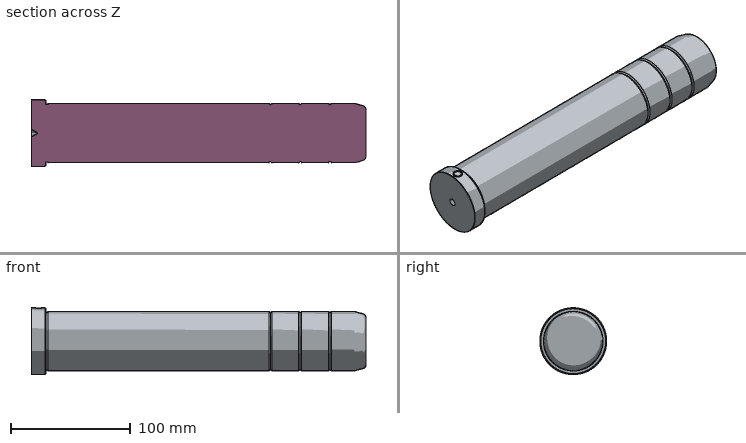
import cadquery as cq
import math

length = 280.0
head_radius = 28.0
head_length = 12.0
head_chamfer = 0.8
end_face_chamfer = 0.3
shaft_radius = 25.0

relief_width = 2.0
relief_depth = 0.5

groove_width = 2.5
groove_depth = 1.0
first_groove_x = 200.0
groove_pitch = 25.0
groove_count = 3

taper_length = 9.5
taper_angle = math.radians(15)
tip_round = 4.0

center_hole_radius = 3.0
center_hole_angle = math.radians(60)

rim_ring_radius = 4.0
rim_ring_width = 0.8
rim_ring_depth = 0.5


def revolve_about_x(profile):
    return profile.close().revolve(360, (0, 0, 0), (1, 0, 0))


def make_body():
    relief_end = head_length + relief_width
    relief_radius = shaft_radius - relief_depth
    taper_start = length - taper_length
    nose_radius = shaft_radius - taper_length * math.tan(taper_angle)
    profile = (
        cq.Workplane("XY")
        .lineTo(0, head_radius - end_face_chamfer)
        .lineTo(end_face_chamfer, head_radius)
        .lineTo(head_length - head_chamfer, head_radius)
        .lineTo(head_length, head_radius - head_chamfer)
        .lineTo(head_length, relief_radius)
        .lineTo(relief_end, relief_radius)
        .lineTo(relief_end, shaft_radius)
        .lineTo(taper_start, shaft_radius)
        .lineTo(length, nose_radius)
        .lineTo(length, 0)
    )
    return revolve_about_x(profile).faces(">X").edges().fillet(tip_round)


def make_groove(center_x):
    profile = (
        cq.Workplane("XY")
        .moveTo(center_x - groove_width / 2, shaft_radius)
        .lineTo(center_x, shaft_radius - groove_depth)
        .lineTo(center_x + groove_width / 2, shaft_radius)
        .lineTo(center_x, shaft_radius + groove_depth)
    )
    return revolve_about_x(profile)


def make_center_hole():
    depth = center_hole_radius / math.tan(center_hole_angle / 2)
    profile = cq.Workplane("XY").lineTo(0, center_hole_radius).lineTo(depth, 0)
    return revolve_about_x(profile)


def make_rim_ring():
    rim_top = cq.Workplane("XY", origin=(head_length / 2, 0, head_radius))
    inner_radius = rim_ring_radius - rim_ring_width
    return rim_top.circle(rim_ring_radius).circle(inner_radius).extrude(-rim_ring_depth)


result = make_body()

for index in range(groove_count):
    result = result.cut(make_groove(first_groove_x + index * groove_pitch))

result = result.cut(make_center_hole())
result = result.cut(make_rim_ring())